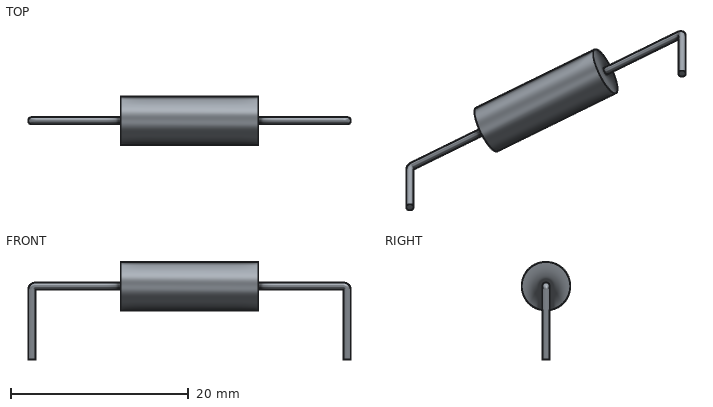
import cadquery as cq

OVERALL_LENGTH = 36.35
BODY_LENGTH = 15.5
BODY_DIAMETER = 5.5
WIRE_DIAMETER = 0.85
OVERALL_HEIGHT = 11.0
INNER_BEND_RADIUS = 0.018

body_radius = BODY_DIAMETER / 2
wire_radius = WIRE_DIAMETER / 2
bend_radius = wire_radius + INNER_BEND_RADIUS
lead_x = OVERALL_LENGTH / 2 - wire_radius
leg_bottom_z = body_radius - OVERALL_HEIGHT


def make_body():
    """Plain cylinder centred on the origin, along X."""
    return cq.Workplane("YZ", origin=(-BODY_LENGTH / 2, 0, 0)).circle(body_radius).extrude(BODY_LENGTH)


def make_lead(side):
    """Round wire from the body's end face, bent down; side is -1 or +1 along X."""
    face_x = side * BODY_LENGTH / 2
    bend_start_x = side * (lead_x - bend_radius)
    leg_x = side * lead_x
    bend_bottom_z = -bend_radius

    centre_line = (
        cq.Workplane("XZ")
        .moveTo(face_x, 0)
        .lineTo(bend_start_x, 0)
        .tangentArcPoint((leg_x, bend_bottom_z), relative=False)
        .lineTo(leg_x, leg_bottom_z)
    )
    return cq.Workplane("YZ", origin=(face_x, 0, 0)).circle(wire_radius).sweep(centre_line)


body = make_body()
leads = [make_lead(side) for side in (-1, 1)]

result = cq.Compound.makeCompound([body.val(), *[lead.val() for lead in leads]])